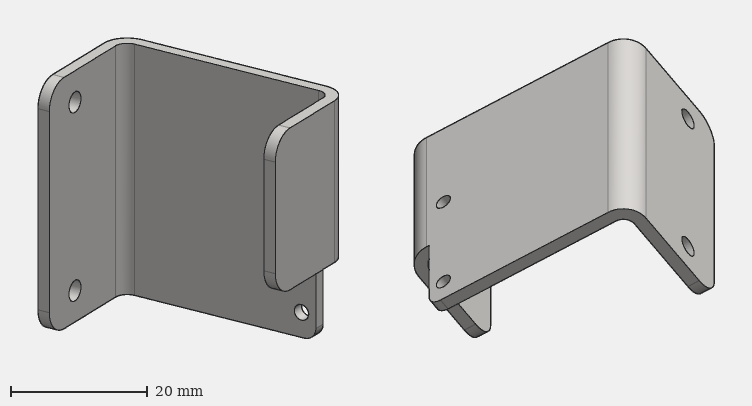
import cadquery as cq

WIDTH = 40.0
HEIGHT = 40.0
LEFT_DEPTH = 22.0
RIGHT_DEPTH = 20.0
THICKNESS = 2.0

INNER_BEND_RADIUS = 2.0
OUTER_BEND_RADIUS = INNER_BEND_RADIUS + THICKNESS

RIGHT_FLANGE_HEIGHT = 25.75
NOTCH_WIDTH = 4.5
NOTCH_HEIGHT = HEIGHT - RIGHT_FLANGE_HEIGHT

FLANGE_CORNER_RADIUS = 4.0
WEB_CORNER_RADIUS = 2.0

WEB_HOLE_DIAMETER = 2.46
WEB_HOLE_X = 33.0
WEB_HOLE_HEIGHTS = (4.0, 22.75)

FLANGE_HOLE_DIAMETER = 3.24
FLANGE_HOLE_SETBACK = 15.05
FLANGE_HOLE_EDGE_DISTANCE = 5.0
FLANGE_HOLE_HEIGHTS = (FLANGE_HOLE_EDGE_DISTANCE, HEIGHT - FLANGE_HOLE_EDGE_DISTANCE)

SELECTION_MARGIN = 1.0

BACK_Y = LEFT_DEPTH
RIGHT_FRONT_Y = BACK_Y - RIGHT_DEPTH


def make_channel():
    """Bent U-shaped strip with square corners at the flange ends."""
    inner_back_y = BACK_Y - THICKNESS
    inner_right_x = WIDTH - THICKNESS
    profile = (
        cq.Workplane("XY")
        .moveTo(0, 0)
        .lineTo(0, BACK_Y - OUTER_BEND_RADIUS)
        .radiusArc((OUTER_BEND_RADIUS, BACK_Y), OUTER_BEND_RADIUS)
        .lineTo(WIDTH - OUTER_BEND_RADIUS, BACK_Y)
        .radiusArc((WIDTH, BACK_Y - OUTER_BEND_RADIUS), OUTER_BEND_RADIUS)
        .lineTo(WIDTH, RIGHT_FRONT_Y)
        .lineTo(inner_right_x, RIGHT_FRONT_Y)
        .lineTo(inner_right_x, inner_back_y - INNER_BEND_RADIUS)
        .radiusArc((inner_right_x - INNER_BEND_RADIUS, inner_back_y), -INNER_BEND_RADIUS)
        .lineTo(THICKNESS + INNER_BEND_RADIUS, inner_back_y)
        .radiusArc((THICKNESS, inner_back_y - INNER_BEND_RADIUS), -INNER_BEND_RADIUS)
        .lineTo(THICKNESS, 0)
        .close()
    )
    return profile.extrude(HEIGHT)


def cut_notch(body):
    """Remove the lower part of the right flange with its bend."""
    notch = cq.Workplane("XY").box(NOTCH_WIDTH, LEFT_DEPTH, NOTCH_HEIGHT, centered=False)
    return body.cut(notch.translate((WIDTH - NOTCH_WIDTH, 0, 0)))


def flange_end_selector(left_x, front_y):
    """Select edges near the free end of the flange that starts at left_x."""
    low = (left_x - SELECTION_MARGIN, front_y - SELECTION_MARGIN, -SELECTION_MARGIN)
    high = (left_x + THICKNESS + SELECTION_MARGIN, front_y + SELECTION_MARGIN, HEIGHT + SELECTION_MARGIN)
    return cq.selectors.BoxSelector(low, high)


def round_corners(body):
    """Round the free corners of both flanges and the lower right web corner."""
    left_end = flange_end_selector(0, 0)
    right_end = flange_end_selector(WIDTH - THICKNESS, RIGHT_FRONT_Y)
    body = body.edges("|X").edges(left_end).fillet(FLANGE_CORNER_RADIUS)
    body = body.edges("|X").edges(right_end).fillet(FLANGE_CORNER_RADIUS)
    return body.faces("<Z").edges("|Y").edges(">X").fillet(WEB_CORNER_RADIUS)


def drill_web_holes(body):
    """Drill the web holes along Y."""
    for height in WEB_HOLE_HEIGHTS:
        hole = cq.Workplane("XZ", origin=(WEB_HOLE_X, BACK_Y, height))
        body = body.cut(hole.circle(WEB_HOLE_DIAMETER / 2).extrude(THICKNESS))
    return body


def drill_flange_holes(body):
    """Drill the left flange holes along X."""
    for height in FLANGE_HOLE_HEIGHTS:
        hole = cq.Workplane("YZ", origin=(0, BACK_Y - FLANGE_HOLE_SETBACK, height))
        body = body.cut(hole.circle(FLANGE_HOLE_DIAMETER / 2).extrude(THICKNESS))
    return body


channel = cut_notch(make_channel())
rounded = round_corners(channel)
result = drill_flange_holes(drill_web_holes(rounded))